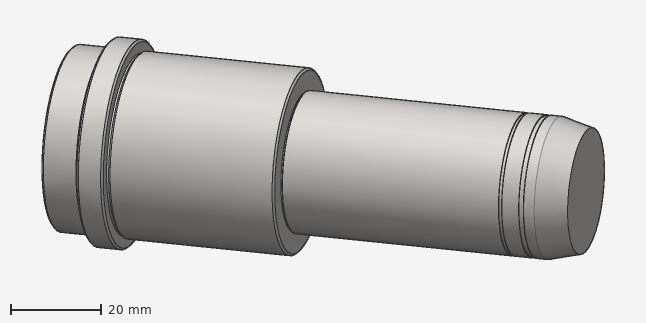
import cadquery as cq

length = 120.0
body_dia = 42.0
collar_dia = 47.0
pin_dia = 32.0
nose_dia = 28.3

head_end = 8.0
collar_start = 8.9
collar_end = 15.0
body_start = 15.5
body_end = 54.0
nose_start = 112.8

edge_chamfer = 0.5
relief_depth = 0.5
groove_depth = 0.2
neck_depth = 0.2
neck_end = 54.4
pin_grooves = ((104.5, 0.7), (109.2, 1.1))


def cylinder(start, end, diameter):
    """Solid disc or shaft between two positions along X."""
    return cq.Workplane("YZ").workplane(offset=start).circle(diameter / 2).extrude(end - start)


def chamfered_cylinder(start, end, diameter):
    """Cylinder with both end edges broken."""
    return cylinder(start, end, diameter).edges().chamfer(edge_chamfer)


def ring_groove(start, width, depth):
    """Ring to cut from the pin surface."""
    outer = cylinder(start, start + width, pin_dia + 2 * depth)
    return outer.cut(cylinder(start, start + width, pin_dia - 2 * depth))


head = cylinder(0, head_end, body_dia).edges("<X").chamfer(edge_chamfer)
core = cylinder(edge_chamfer, body_end - edge_chamfer, body_dia - 2 * relief_depth)
collar = chamfered_cylinder(collar_start, collar_end, collar_dia)
body = chamfered_cylinder(body_start, body_end, body_dia)

pin = cylinder(body_end, nose_start, pin_dia)
nose = (
    cq.Workplane("YZ").workplane(offset=nose_start).circle(pin_dia / 2)
    .workplane(offset=length - nose_start).circle(nose_dia / 2).loft(ruled=True)
)

result = head.union(core).union(collar).union(body).union(pin).union(nose)

for groove_start, groove_width in pin_grooves:
    result = result.cut(ring_groove(groove_start, groove_width, groove_depth))
result = result.cut(ring_groove(body_end, neck_end - body_end, neck_depth))